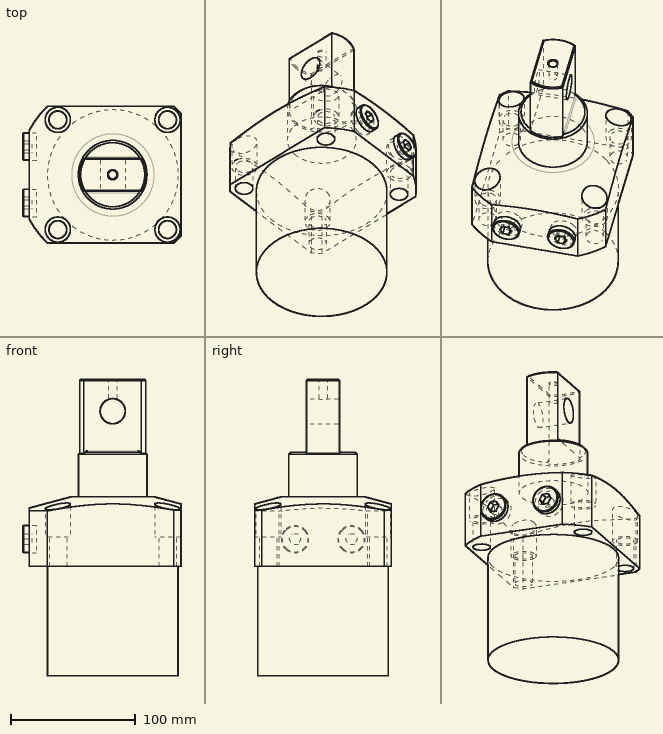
import cadquery as cq
import math

total_height = 238.0
flange_bottom_z = 88.0
housing_top_z = 144.0
shoulder_z = 179.7

barrel_diameter = 105.0
flange_half_width = 55.0
port_face_x = -67.0
port_side_radius = 76.0
far_corner_chamfer = 6.0
crown_flat_radius = 33.0
crown_angle = 15.0

mount_offset = 44.0
mount_hole_diameter = 14.0
counterbore_diameter = 20.2
counterbore_floor_z = 111.9

rod_radius = 27.5
shoulder_chamfer = 2.0
tongue_radius = 26.7
tongue_thickness = 26.7
tongue_foot_fillet = 1.2
tongue_top_chamfer = 1.0
cross_hole_diameter = 20.0
cross_hole_z = 212.5
end_hole_diameter = 7.0
end_hole_chamfer = 0.6

plug_diameter = 22.0
plug_projection = 5.0
plug_seat_depth = 6.0
plug_rim_chamfer = 0.7
plug_spacing = 45.2
plug_z = 110.0
plug_places = [side * plug_spacing / 2 for side in (-1, 1)]
hex_across_flats = 8.3
hex_depth = 7.1


def make_flange_blank():
    """Square block, turned round at the port-side corners and bevelled at the far corners."""
    length = flange_half_width - port_face_x
    height = housing_top_z - flange_bottom_z
    block = (
        cq.Workplane("XY", origin=(0, 0, flange_bottom_z))
        .center((flange_half_width + port_face_x) / 2, 0)
        .rect(length, 2 * flange_half_width)
        .extrude(height)
        .edges("|Z and >X")
        .chamfer(far_corner_chamfer)
    )
    turned = cq.Workplane("XY", origin=(0, 0, flange_bottom_z)).circle(port_side_radius).extrude(height)
    return block.intersect(turned)


def make_crown_envelope():
    """Solid of revolution whose top is flat in the middle and slopes down as a cone outside."""
    outer_radius = math.hypot(port_face_x, flange_half_width)
    drop = (outer_radius - crown_flat_radius) * math.tan(math.radians(crown_angle))
    return (
        cq.Workplane("XZ")
        .moveTo(0, 0)
        .lineTo(outer_radius, 0)
        .lineTo(outer_radius, housing_top_z - drop)
        .lineTo(crown_flat_radius, housing_top_z)
        .lineTo(0, housing_top_z)
        .close()
        .revolve(360, (0, 0, 0), (0, 1, 0))
    )


def make_plug_cylinder(y):
    """Cylinder filled by one plug, from the recess floor out to the plug's outer face."""
    return (
        cq.Workplane("YZ", origin=(port_face_x - plug_projection, y, plug_z))
        .circle(plug_diameter / 2)
        .extrude(plug_projection + plug_seat_depth)
    )


def make_housing():
    """Round barrel under a crowned flange with counterbored mounting holes and plug recesses."""
    barrel = cq.Workplane("XY").circle(barrel_diameter / 2).extrude(flange_bottom_z)
    housing = make_flange_blank().intersect(make_crown_envelope()).union(barrel)
    for x_side in (-1, 1):
        for y_side in (-1, 1):
            place = (x_side * mount_offset, y_side * mount_offset)
            through = (
                cq.Workplane("XY", origin=(*place, flange_bottom_z))
                .circle(mount_hole_diameter / 2)
                .extrude(housing_top_z - flange_bottom_z)
            )
            counterbore = (
                cq.Workplane("XY", origin=(*place, counterbore_floor_z))
                .circle(counterbore_diameter / 2)
                .extrude(housing_top_z - counterbore_floor_z)
            )
            housing = housing.cut(through).cut(counterbore)
    for y in plug_places:
        housing = housing.cut(make_plug_cylinder(y))
    return housing


def make_rod():
    """Round rod standing on the housing, with a drilled flat-sided tongue on its end."""
    shaft = (
        cq.Workplane("XY", origin=(0, 0, housing_top_z))
        .circle(rod_radius)
        .extrude(shoulder_z - housing_top_z)
        .faces(">Z")
        .chamfer(shoulder_chamfer)
    )
    tongue_bottom_z = shoulder_z - shoulder_chamfer
    tongue_height = total_height - tongue_bottom_z
    slab = (
        cq.Workplane("XY", origin=(0, 0, tongue_bottom_z))
        .rect(2 * rod_radius, tongue_thickness)
        .extrude(tongue_height)
    )
    tongue = (
        cq.Workplane("XY", origin=(0, 0, tongue_bottom_z))
        .circle(tongue_radius)
        .extrude(tongue_height)
        .intersect(slab)
        .faces(">Z")
        .chamfer(tongue_top_chamfer)
    )
    rod = shaft.union(tongue)
    for y_side in (-1, 1):
        foot = (0, y_side * tongue_thickness / 2, shoulder_z)
        rod = rod.edges(cq.NearestToPointSelector(foot)).fillet(tongue_foot_fillet)

    cross_hole = (
        cq.Workplane("XZ", origin=(0, 0, cross_hole_z))
        .circle(cross_hole_diameter / 2)
        .extrude(tongue_thickness, both=True)
    )
    end_hole = (
        cq.Workplane("XY", origin=(0, 0, cross_hole_z))
        .circle(end_hole_diameter / 2)
        .extrude(total_height - cross_hole_z)
    )
    rod = rod.cut(cross_hole).cut(end_hole)
    end_hole_rim = cq.NearestToPointSelector((0, 0, total_height))
    return rod.faces(">Z").edges("%CIRCLE").edges(end_hole_rim).chamfer(end_hole_chamfer)


def make_plug(y):
    """Round plug let into the port face, with a chamfered rim and a hexagon socket."""
    hex_across_corners = hex_across_flats / math.cos(math.radians(30))
    return (
        make_plug_cylinder(y)
        .faces("<X")
        .chamfer(plug_rim_chamfer)
        .faces("<X")
        .workplane()
        .polygon(6, hex_across_corners)
        .cutBlind(-hex_depth)
    )


housing = make_housing()
rod = make_rod()
plugs = [make_plug(y) for y in plug_places]

result = cq.Compound.makeCompound([housing.val(), rod.val(), *[plug.val() for plug in plugs]])